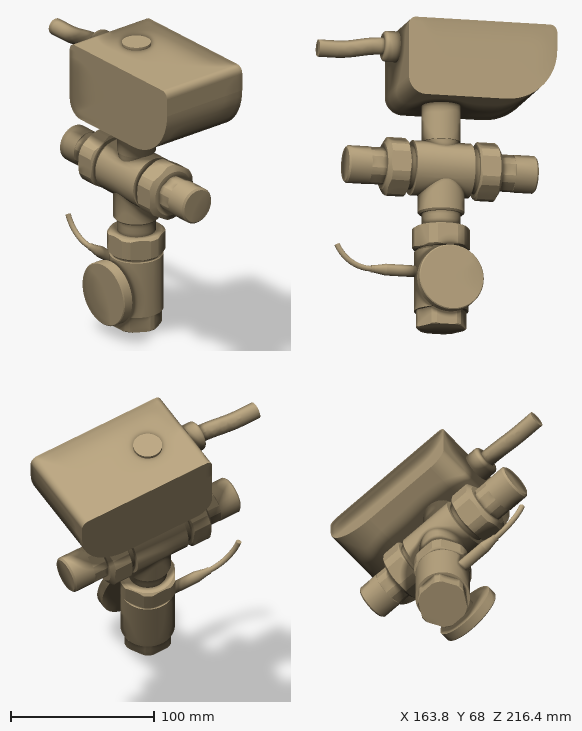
import cadquery as cq
import math


HOUSING_LEFT = -31.8
HOUSING_RIGHT = 75.0
HOUSING_BOTTOM = 45.2
HOUSING_TOP = 100.2
HOUSING_DEPTH = 68.0
TOP_CORNER_RADIUS = 5.2
BOTTOM_LEFT_RADIUS = 12.3
BOTTOM_RIGHT_RADIUS = 36.8
BUTTON_RADIUS = 10.2
BUTTON_HEIGHT = 2.2
NECK_RADIUS = 13.6
GLAND_RADIUS = 10.8
GLAND_LENGTH = 10.5
GLAND_ROUNDING = 2.5
GLAND_Z = 86.0
POWER_CABLE_RADIUS = 6.0
POWER_CABLE_END_X = -88.8
POWER_CABLE_STRAIGHT = 13.5
POWER_CABLE_DROP = 4.1

RUN_CENTER_X = -0.9
RUN_RADIUS = 19.3
RUN_HALF_LENGTH = 20.8
BONNET_RADIUS = 12.8
BRANCH_RADIUS = 16.5
BRANCH_BOTTOM = -32.3
BRANCH_CHAMFER = 1.3
OUTLET_RADIUS = NECK_RADIUS
SPIGOT_RADIUS = 15.2

UNION_START = 23.5
UNION_NUT_START = 25.0
UNION_NUT_END = 41.4
UNION_HEX_END = 51.7
UNION_END = 68.2
UNION_COLLAR_RADIUS = 16.0
UNION_NUT_FLAT = 19.3
UNION_NUT_CORNER = 20.5
UNION_NUT_FACE_RADIUS = 16.2
UNION_NUT_OUTER_CHAMFER = 2.5
UNION_NUT_BACK_RADIUS = 18.8
UNION_NUT_BACK_CHAMFER = 1.0
TAIL_FLAT = 12.3
TAIL_HEX_CORNER = 13.0
TAIL_RADIUS = 13.2
TAIL_CHAMFER = 1.3

BALL_NUT_TOP = -42.0
BALL_NUT_BOTTOM = -58.0
BALL_NUT_FLAT = 19.0
BALL_NUT_CORNER = 20.4
BALL_NUT_FACE_RADIUS = 18.5
BALL_NUT_CHAMFER = 1.3
BALL_GROOVE_RADIUS = 17.0
BALL_BODY_TOP = -59.8
BALL_BODY_BOTTOM = -101.8
BALL_BODY_RADIUS = 19.0
END_HEX_BOTTOM = -114.0
END_HEX_FLAT = 16.2
END_HEX_CORNER = 17.8
END_HEX_CHAMFER = 0.6
DIAL_Z = -83.5
DIAL_RADIUS = 23.2
DIAL_BACK = 22.7
DIAL_FRONT = 30.0
DIAL_CHAMFER = 0.6
DIAL_STEM_RADIUS = 8.0

SENSOR_Z = -74.0
PROBE_RADIUS = 4.1
PROBE_END_X = -40.0
SLEEVE_RADIUS = 2.5
SLEEVE_START_X = -48.3
SLEEVE_END_X = -50.5
SENSOR_CABLE_RADIUS = 2.0
SENSOR_BEND_RADIUS = 26.6
SENSOR_BEND_ANGLE = 67.0


def vertical_cylinder(radius, bottom, top):
    """Solid cylinder on the valve axis between two heights."""
    return cq.Workplane("XY").workplane(offset=bottom).circle(radius).extrude(top - bottom)


def turned(profile):
    """Solid of revolution about Z from (radius, height) points, closed along the axis."""
    first_height = profile[0][1]
    last_height = profile[-1][1]
    points = [(0, first_height), *profile, (0, last_height)]
    return cq.Workplane("XZ").polyline(points).close().revolve(360, (0, 0), (0, 1))


def hexagon_bar(flat, bottom, top):
    """Hexagonal bar on Z with corners on the X axis; flat is the centre-to-flat distance."""
    corner_diameter = 2 * flat / math.cos(math.pi / 6)
    return cq.Workplane("XY").workplane(offset=bottom).polygon(6, corner_diameter).extrude(top - bottom)


def make_actuator():
    housing_height = HOUSING_TOP - HOUSING_BOTTOM
    housing = (
        cq.Workplane("XY")
        .box(HOUSING_RIGHT - HOUSING_LEFT, HOUSING_DEPTH, housing_height, centered=(False, True, False))
        .translate((HOUSING_LEFT, 0, HOUSING_BOTTOM))
    )
    housing = housing.edges("|Y and >Z").fillet(TOP_CORNER_RADIUS)
    housing = housing.edges("|Y and <Z and <X").fillet(BOTTOM_LEFT_RADIUS)
    housing = housing.edges("|Y and <Z and >X").fillet(BOTTOM_RIGHT_RADIUS)

    button = vertical_cylinder(BUTTON_RADIUS, HOUSING_TOP, HOUSING_TOP + BUTTON_HEIGHT)
    neck = vertical_cylinder(NECK_RADIUS, RUN_RADIUS, HOUSING_BOTTOM)

    gland_end_x = HOUSING_LEFT - GLAND_LENGTH
    gland = (
        cq.Workplane("YZ", origin=(gland_end_x, 0, GLAND_Z))
        .circle(GLAND_RADIUS)
        .extrude(GLAND_LENGTH)
        .faces("<X")
        .edges()
        .fillet(GLAND_ROUNDING)
    )

    cable_end_z = GLAND_Z - POWER_CABLE_DROP
    bend_start_x = POWER_CABLE_END_X + POWER_CABLE_STRAIGHT
    cable_path = (
        cq.Workplane("XZ")
        .moveTo(POWER_CABLE_END_X, cable_end_z)
        .lineTo(bend_start_x, cable_end_z)
        .spline([(gland_end_x, GLAND_Z)], tangents=[(1, 0), (1, 0)], includeCurrent=True)
    )
    cable = (
        cq.Workplane("YZ", origin=(POWER_CABLE_END_X, 0, cable_end_z))
        .circle(POWER_CABLE_RADIUS)
        .sweep(cable_path)
    )
    return housing.union(button).union(neck).union(gland).union(cable)


def make_valve_body():
    run = (
        cq.Workplane("YZ", origin=(RUN_CENTER_X, 0, 0))
        .circle(RUN_RADIUS)
        .extrude(RUN_HALF_LENGTH, both=True)
    )
    spigots = (
        cq.Workplane("YZ", origin=(RUN_CENTER_X, 0, 0))
        .circle(SPIGOT_RADIUS)
        .extrude(UNION_START, both=True)
    )
    bonnet = vertical_cylinder(BONNET_RADIUS, 0, RUN_RADIUS)
    branch = vertical_cylinder(BRANCH_RADIUS, BRANCH_BOTTOM, 0).faces("<Z").chamfer(BRANCH_CHAMFER)
    outlet = vertical_cylinder(OUTLET_RADIUS, BALL_NUT_TOP, BRANCH_BOTTOM)
    return run.union(spigots).union(bonnet).union(branch).union(outlet)


def make_union(direction):
    """Union nut with its tailpiece; direction is +1 or -1 along X."""
    nut = hexagon_bar(UNION_NUT_FLAT, UNION_NUT_START, UNION_NUT_END).intersect(
        turned([
            (UNION_NUT_BACK_RADIUS, UNION_NUT_START),
            (UNION_NUT_CORNER, UNION_NUT_START + UNION_NUT_BACK_CHAMFER),
            (UNION_NUT_CORNER, UNION_NUT_END - UNION_NUT_OUTER_CHAMFER),
            (UNION_NUT_FACE_RADIUS, UNION_NUT_END),
        ])
    )
    collar = turned([(SPIGOT_RADIUS, UNION_START), (UNION_COLLAR_RADIUS, UNION_NUT_START)])
    tail_hex = hexagon_bar(TAIL_FLAT, UNION_NUT_END, UNION_HEX_END).intersect(
        vertical_cylinder(TAIL_HEX_CORNER, UNION_NUT_END, UNION_HEX_END)
    )
    tail = vertical_cylinder(TAIL_RADIUS, UNION_HEX_END, UNION_END).faces(">Z").chamfer(TAIL_CHAMFER)
    upright = nut.union(collar).union(tail_hex).union(tail)
    return upright.rotate((0, 0, 0), (0, 1, 0), direction * 90).translate((RUN_CENTER_X, 0, 0))


def make_ball_valve():
    nut = hexagon_bar(BALL_NUT_FLAT, BALL_NUT_BOTTOM, BALL_NUT_TOP).intersect(
        turned([
            (BALL_NUT_FACE_RADIUS, BALL_NUT_BOTTOM),
            (BALL_NUT_CORNER, BALL_NUT_BOTTOM + BALL_NUT_CHAMFER),
            (BALL_NUT_CORNER, BALL_NUT_TOP - BALL_NUT_CHAMFER),
            (BALL_NUT_FACE_RADIUS, BALL_NUT_TOP),
        ])
    )
    groove = vertical_cylinder(BALL_GROOVE_RADIUS, BALL_BODY_TOP, BALL_NUT_BOTTOM)
    barrel = vertical_cylinder(BALL_BODY_RADIUS, BALL_BODY_BOTTOM, BALL_BODY_TOP)
    end_hex = hexagon_bar(END_HEX_FLAT, END_HEX_BOTTOM, BALL_BODY_BOTTOM).intersect(
        vertical_cylinder(END_HEX_CORNER, END_HEX_BOTTOM, BALL_BODY_BOTTOM)
        .faces("<Z")
        .chamfer(END_HEX_CHAMFER)
    )
    dial_stem = cq.Workplane("XZ", origin=(0, 0, DIAL_Z)).circle(DIAL_STEM_RADIUS).extrude(DIAL_BACK)
    dial = (
        cq.Workplane("XZ", origin=(0, -DIAL_BACK, DIAL_Z))
        .circle(DIAL_RADIUS)
        .extrude(DIAL_FRONT - DIAL_BACK)
        .faces("<Y")
        .chamfer(DIAL_CHAMFER)
    )
    return nut.union(groove).union(barrel).union(end_hex).union(dial_stem).union(dial)


def make_sensor():
    """Probe, tapered sleeve and curved cable, ending on the curved side of the ball valve."""
    rigid = (
        cq.Workplane("XZ", origin=(0, 0, SENSOR_Z))
        .moveTo(0, 0)
        .lineTo(0, PROBE_RADIUS)
        .lineTo(PROBE_END_X, PROBE_RADIUS)
        .lineTo(SLEEVE_START_X, SLEEVE_RADIUS)
        .lineTo(SLEEVE_END_X, SLEEVE_RADIUS)
        .lineTo(SLEEVE_END_X, 0)
        .close()
        .revolve(360, (0, 0), (1, 0))
        .cut(vertical_cylinder(BALL_BODY_RADIUS, BALL_BODY_BOTTOM, BALL_BODY_TOP))
    )

    def bend_point(degrees):
        angle = math.radians(degrees)
        x = SLEEVE_END_X - SENSOR_BEND_RADIUS * math.sin(angle)
        z = SENSOR_Z + SENSOR_BEND_RADIUS * (1 - math.cos(angle))
        return x, z

    cable_path = (
        cq.Workplane("XZ")
        .moveTo(SLEEVE_END_X, SENSOR_Z)
        .threePointArc(bend_point(SENSOR_BEND_ANGLE / 2), bend_point(SENSOR_BEND_ANGLE))
    )
    cable = (
        cq.Workplane("YZ", origin=(SLEEVE_END_X, 0, SENSOR_Z))
        .circle(SENSOR_CABLE_RADIUS)
        .sweep(cable_path)
    )
    return rigid.union(cable)


actuator = make_actuator()
valve_body = make_valve_body()
unions = [make_union(direction) for direction in (-1, 1)]
ball_valve = make_ball_valve()
sensor = make_sensor()

result = cq.Compound.makeCompound([
    actuator.val(),
    valve_body.val(),
    *[coupling.val() for coupling in unions],
    ball_valve.val(),
    sensor.val(),
])